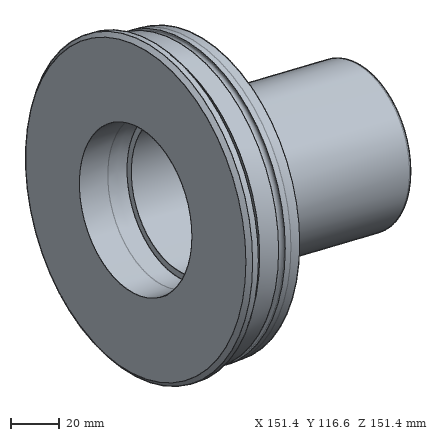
import cadquery as cq
import math

total_length = 116.62
flange_thickness = 5.0
taper_start = 25.0
disc_height = 30.0

flange_radius = 151.38 / 2
disc_radius = 144.38 / 2
disc_taper = 0.44
disc_end_radius = disc_radius - disc_taper
tube_radius = 75.0 / 2
bore_radius = 69.0 / 2

counterbore_radius = 75.2 / 2
shoulder_radius = 74.8 / 2
counterbore_straight_depth = 15.0
shoulder_depth = 25.0

groove_width = 3.5
groove_depth = 2.5
groove_starts = (flange_thickness, 18.5)

flange_chamfer = 2.0
root_fillet = 5.0

tube_end_radius = (tube_radius - bore_radius) / 2
tube_end_start = total_length - tube_end_radius


def revolve_about_y(profile):
    """Revolve a closed XY profile one full turn about the Y axis."""
    return profile.revolve(360, (0, 0, 0), (0, 1, 0))


def make_outer_body():
    """Flange, tapered disc and tube, as one solid of revolution."""
    fillet_center_radius = tube_radius + root_fillet
    fillet_center_y = disc_height + root_fillet
    fillet_mid_offset = root_fillet * math.cos(math.radians(45))
    profile = (
        cq.Workplane("XY")
        .moveTo(0, 0)
        .lineTo(flange_radius - flange_chamfer, 0)
        .lineTo(flange_radius, flange_chamfer)
        .lineTo(flange_radius, flange_thickness)
        .lineTo(disc_radius, flange_thickness)
        .lineTo(disc_radius, taper_start)
        .lineTo(disc_end_radius, disc_height)
        .lineTo(fillet_center_radius, disc_height)
        .threePointArc(
            (fillet_center_radius - fillet_mid_offset, fillet_center_y - fillet_mid_offset),
            (tube_radius, fillet_center_y),
        )
        .lineTo(tube_radius, tube_end_start)
        .threePointArc(
            (tube_radius - tube_end_radius, total_length),
            (bore_radius, tube_end_start),
        )
        .lineTo(0, tube_end_start)
        .close()
    )
    return revolve_about_y(profile)


def make_bore():
    """Through bore with the stepped counterbore at the flange face."""
    profile = (
        cq.Workplane("XY")
        .moveTo(0, 0)
        .lineTo(counterbore_radius, 0)
        .lineTo(counterbore_radius, counterbore_straight_depth)
        .lineTo(shoulder_radius, shoulder_depth)
        .lineTo(bore_radius, shoulder_depth)
        .lineTo(bore_radius, total_length)
        .lineTo(0, total_length)
        .close()
    )
    return revolve_about_y(profile)


def make_groove(start):
    """Ring cutter for one groove whose lower wall lies at the given distance."""
    end = start + groove_width
    round_radius = groove_width / 2
    floor_radius = disc_radius - groove_depth
    profile = (
        cq.Workplane("XY")
        .moveTo(disc_radius, start)
        .lineTo(floor_radius + round_radius, start)
        .threePointArc(
            (floor_radius, start + round_radius),
            (floor_radius + round_radius, end),
        )
        .lineTo(disc_radius, end)
        .close()
    )
    return revolve_about_y(profile)


result = make_outer_body().cut(make_bore())
for groove_start in groove_starts:
    result = result.cut(make_groove(groove_start))